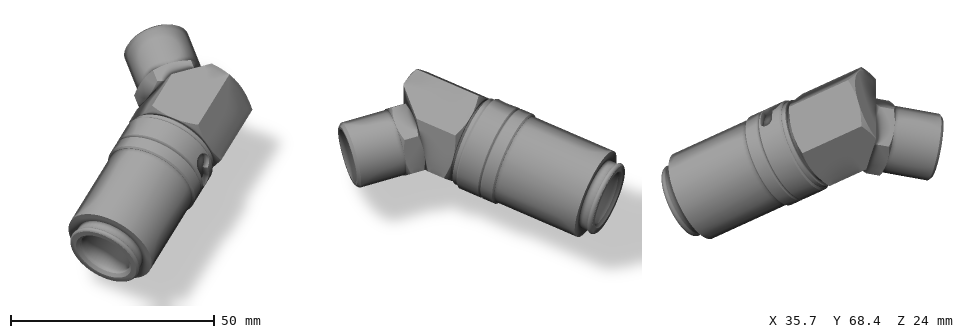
import cadquery as cq
import math


body_radius = 11.5
body_start = 3.55
body_end = 37.2
neck_radius = 10.45
nose_radius = 9.0
lip_radius = 9.45
lip_length = 1.4
lip_face_radius = 8.95

collar_diameter = 24.0
collar_radius = collar_diameter / 2
collar_chamfer = 0.4
front_collar_start = 25.65
collar_split = 29.55
rear_collar_end = 36.1

block_across_flats = 22.0
block_start = 38.0
block_end = 57.05

branch_origin_y = 45.4
branch_angle = 45
nut_across_flats = 17.0
nut_start = 7.5
nut_end = 12.5
tube_radius = 8.35
tube_end = 24.9
tube_chamfer = 0.75

passage_radius = 4.5
socket_radius = 6.85
socket_depth = 25.65
mouth_chamfer = 0.75
main_passage_end = 54.25
cone_mouth_radius = 6.85
cone_depth = 4.0

slot_floor_radius = neck_radius
slot_eye_y = 32.9
slot_eye_radius = 2.5
slot_eye_angle = 25
slot_channel_width = 3.35
slot_channel_end_z = -2.0

hex_bevel_slope = math.tan(math.radians(30))


def ring(radius, start, end):
    """Solid cylinder on the main axis between two Y stations."""
    return cq.Workplane("XZ", origin=(0, start, 0)).circle(radius).extrude(start - end)


def bevelled_hex(across_flats, length):
    """Hexagonal prism along +Z, corners on the X axis, both ends bevelled by 30 degree cones."""
    flat_radius = across_flats / 2
    corner_radius = across_flats / math.sqrt(3)
    bevel = (corner_radius - flat_radius) * hex_bevel_slope
    prism = cq.Workplane("XY").polygon(6, 2 * corner_radius).extrude(length)
    envelope = (
        cq.Workplane("XZ")
        .polyline([
            (0, 0),
            (flat_radius, 0),
            (corner_radius, bevel),
            (corner_radius, length - bevel),
            (flat_radius, length),
            (0, length),
        ])
        .close()
        .revolve(360, (0, 0, 0), (0, 1, 0))
    )
    return prism.intersect(envelope)


def along_main(shape, start):
    """Turn a shape built along +Z onto the main axis, starting at the given Y."""
    return shape.rotate((0, 0, 0), (1, 0, 0), -90).translate((0, start, 0))


def along_branch(shape, start):
    """Turn a shape built along +Z onto the branch axis, at a distance from the main axis."""
    on_y_axis = along_main(shape, start)
    return on_y_axis.rotate((0, 0, 0), (0, 0, 1), branch_angle).translate((0, branch_origin_y, 0))


def make_lip():
    """Flat-faced disc whose rim bulges as a single arc."""
    return (
        cq.Workplane("XY")
        .lineTo(lip_face_radius, 0)
        .threePointArc((lip_radius, lip_length / 2), (lip_face_radius, lip_length))
        .lineTo(0, lip_length)
        .close()
        .revolve(360, (0, 0, 0), (0, 1, 0))
    )


def make_sleeve():
    sleeve = make_lip().union(ring(nose_radius, 0, body_start))
    sleeve = sleeve.union(ring(body_radius, body_start, body_end))
    sleeve = sleeve.union(ring(neck_radius, body_end, block_start))
    collar_spans = [
        (front_collar_start, collar_split),
        (collar_split, rear_collar_end),
    ]
    for start, end in collar_spans:
        sleeve = sleeve.union(ring(collar_radius, start, end).edges().chamfer(collar_chamfer))
    return sleeve


def make_slot():
    """Round radial eye with a narrower channel tangent to its lower side, down to a cylindrical floor."""
    channel_radius = slot_channel_width / 2
    channel_y = slot_eye_y - slot_eye_radius + channel_radius
    channel_tip_z = slot_channel_end_z + channel_radius
    side = cq.Workplane("YZ")
    eye = side.center(slot_eye_y, 0).circle(slot_eye_radius).extrude(collar_diameter)
    eye = eye.rotate((0, 0, 0), (0, 1, 0), -slot_eye_angle)
    tip = side.center(channel_y, channel_tip_z).circle(channel_radius).extrude(collar_radius)
    eye_z = collar_radius * math.sin(math.radians(slot_eye_angle))
    channel_length = eye_z - channel_tip_z
    channel = (
        side.center(channel_y, channel_tip_z + channel_length / 2)
        .rect(slot_channel_width, channel_length)
        .extrude(collar_radius)
    )
    return eye.union(channel).union(tip).cut(ring(slot_floor_radius, 0, block_start))


def make_block():
    """Elbow block, cut square to the branch where the nut sits."""
    block = along_main(bevelled_hex(block_across_flats, block_end - block_start), block_start)
    cutter_size = 4 * block_across_flats
    cutter = cq.Workplane("XY").rect(cutter_size, cutter_size).extrude(cutter_size)
    return block.cut(along_branch(cutter, nut_start))


def make_branch():
    nut = bevelled_hex(nut_across_flats, nut_end - nut_start)
    tube = cq.Workplane("XY").circle(tube_radius).extrude(tube_end - nut_start)
    tube = tube.faces(">Z").edges().chamfer(tube_chamfer)
    return along_branch(nut.union(tube), nut_start)


def make_main_bore():
    profile = [
        (0, 0),
        (socket_radius + mouth_chamfer, 0),
        (socket_radius, mouth_chamfer),
        (socket_radius, socket_depth),
        (passage_radius, socket_depth),
        (passage_radius, main_passage_end),
        (0, main_passage_end),
    ]
    return cq.Workplane("XY").polyline(profile).close().revolve(360, (0, 0, 0), (0, 1, 0))


def make_branch_bore():
    """Passage from the main axis outward, opening into a conical seat."""
    profile = [
        (0, 0),
        (passage_radius, 0),
        (passage_radius, tube_end - cone_depth),
        (cone_mouth_radius, tube_end),
        (0, tube_end),
    ]
    bore = cq.Workplane("XZ").polyline(profile).close().revolve(360, (0, 0, 0), (0, 1, 0))
    return along_branch(bore, 0)


result = (
    make_sleeve()
    .cut(make_slot())
    .union(make_block())
    .union(make_branch())
    .cut(make_main_bore())
    .cut(make_branch_bore())
)